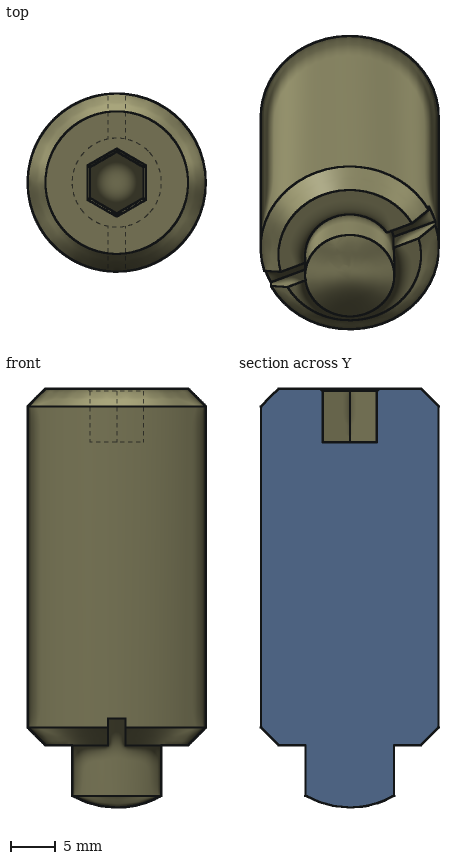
import cadquery as cq
import math

body_diameter = 20.0
body_length = 40.0
body_chamfer = 2.0

pin_diameter = 10.0
pin_projection = 7.0
dome_radius = 10.0

socket_flats = 6.0
socket_depth = 6.0
socket_chamfer = 0.3

slot_width = 2.0
slot_depth = 3.0


def hexagon(across_flats, z):
    """Hexagon normal to Z at height z, with two corners on the Y axis."""
    across_corners = across_flats / math.cos(math.pi / 6)
    plane = cq.Plane(origin=(0, 0, z), xDir=(0, 1, 0), normal=(0, 0, -1))
    return cq.Workplane(plane).polygon(6, across_corners)


def make_body():
    """Cylinder with the same chamfer at both ends."""
    cylinder = cq.Workplane("XY").circle(body_diameter / 2).extrude(body_length)
    return cylinder.faces("<Z or >Z").edges().chamfer(body_chamfer)


def make_socket():
    """Cutter for the hexagon socket and its tapered lead-in."""
    socket = hexagon(socket_flats, body_length).extrude(socket_depth)
    mouth_flats = socket_flats + 2 * socket_chamfer
    lead_in = hexagon(mouth_flats, body_length).extrude(socket_chamfer, taper=45)
    return socket.union(lead_in)


def make_slot():
    """Cutter for the screwdriver slot that runs along Y across the lower face."""
    return cq.Workplane("XY").rect(slot_width, body_diameter).extrude(slot_depth)


def make_pin():
    """Pin with a spherical end, reaching up to the roof of the slot."""
    radius = pin_diameter / 2
    dome_height = dome_radius - math.sqrt(dome_radius**2 - radius**2)
    half_radius = radius / 2
    half_drop = dome_radius - math.sqrt(dome_radius**2 - half_radius**2)
    profile = (
        cq.Workplane("XZ")
        .moveTo(0, slot_depth)
        .lineTo(radius, slot_depth)
        .lineTo(radius, dome_height - pin_projection)
        .threePointArc((half_radius, half_drop - pin_projection), (0, -pin_projection))
        .close()
    )
    return profile.revolve(360, (0, 0, 0), (0, 1, 0))


result = make_body().cut(make_socket()).cut(make_slot()).union(make_pin())